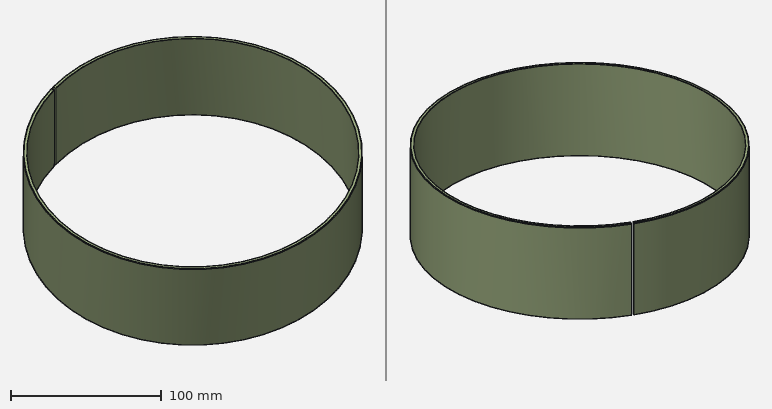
import cadquery as cq

outer_diameter = 225.0
wall_thickness = 2.5
height = 70.0
outer_chamfer = 0.5
inner_chamfer = 0.2
slit_angle = 0.9

outer_radius = outer_diameter / 2
inner_radius = outer_radius - wall_thickness


def wall_section():
    """Wall cross-section on the -X side, with all four corners bevelled."""
    return (
        cq.Workplane("XZ")
        .moveTo(-inner_radius, inner_chamfer)
        .lineTo(-inner_radius, height - inner_chamfer)
        .lineTo(-inner_radius - inner_chamfer, height)
        .lineTo(-outer_radius + outer_chamfer, height)
        .lineTo(-outer_radius, height - outer_chamfer)
        .lineTo(-outer_radius, outer_chamfer)
        .lineTo(-outer_radius + outer_chamfer, 0)
        .lineTo(-inner_radius - inner_chamfer, 0)
        .close()
    )


sweep_angle = 360 - slit_angle
result = wall_section().revolve(sweep_angle, (0, 0, 0), (0, 1, 0))